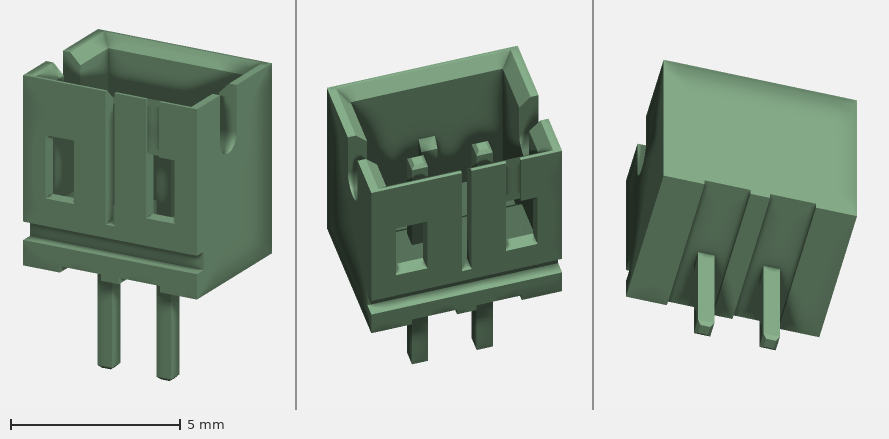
import cadquery as cq

LENGTH = 5.9
DEPTH = 4.5
HEIGHT = 6.0

END_WALL = 0.6
SIDE_WALL = 0.45
RIM_CHAMFER = 0.35

FRONT_FLOOR_Z = 1.8
RAMP_START_Y = -0.15
RAMP_RUN = 0.65

PIN_PITCH = 2.0
PIN_SIZE = 0.5
PIN_Y = -0.55
PIN_TOP_Z = 5.1
PIN_BOTTOM_Z = -3.4
PIN_CHAMFER = 0.1

NOTCH_WIDTH = 1.0
NOTCH_Y = -0.37
NOTCH_BOTTOM_Z = 4.0

SLOT_WIDTH = 0.3
WINDOW_INNER_X = 1.22
WINDOW_WIDTH = 0.97
WINDOW_BOTTOM_Z = 2.25
WINDOW_TOP_Z = 4.25
CHANNEL_WIDTH = 0.45
CHANNEL_DEPTH = SIDE_WALL - RIM_CHAMFER

GROOVE_BOTTOM_Z = 0.8
GROOVE_HEIGHT = 0.58
GROOVE_DEPTH = 0.4

RELIEF_WIDTH = 1.4
RELIEF_HEIGHT = 0.2

KEY_WIDTH = 0.5
KEY_DEPTH = 0.275
KEY_TOP_Z = 3.42

FRONT_Y = -DEPTH / 2
CAVITY_LENGTH = LENGTH - 2 * END_WALL
CAVITY_DEPTH = DEPTH - 2 * SIDE_WALL
CAVITY_FRONT_Y = -CAVITY_DEPTH / 2
CAVITY_BACK_Y = CAVITY_DEPTH / 2
BACK_FLOOR_Z = FRONT_FLOOR_Z - RAMP_RUN
PIN_XS = (-PIN_PITCH / 2, PIN_PITCH / 2)


def block(x_min, x_max, y_min, y_max, z_min, z_max):
    """Axis-aligned box given by its limits."""
    size = (x_max - x_min, y_max - y_min, z_max - z_min)
    return cq.Workplane("XY").box(*size, centered=False).translate((x_min, y_min, z_min))


def side_profile_prism(points, width):
    """Prism centred on X = 0 whose YZ outline is the given polygon."""
    return cq.Workplane("YZ").polyline(points).close().extrude(width / 2, both=True)


def cavity():
    """Inside of the housing, with the stepped floor and the flared rim."""
    well = side_profile_prism(
        [
            (CAVITY_FRONT_Y, HEIGHT),
            (CAVITY_FRONT_Y, FRONT_FLOOR_Z),
            (RAMP_START_Y, FRONT_FLOOR_Z),
            (RAMP_START_Y + RAMP_RUN, BACK_FLOOR_Z),
            (CAVITY_BACK_Y, BACK_FLOOR_Z),
            (CAVITY_BACK_Y, HEIGHT),
        ],
        CAVITY_LENGTH,
    )
    flare = (
        cq.Workplane("XY")
        .workplane(offset=HEIGHT - RIM_CHAMFER)
        .rect(CAVITY_LENGTH, CAVITY_DEPTH)
        .workplane(offset=RIM_CHAMFER)
        .rect(CAVITY_LENGTH + 2 * RIM_CHAMFER, CAVITY_DEPTH + 2 * RIM_CHAMFER)
        .loft(ruled=True)
    )
    return well.union(flare)


def end_notches():
    """Round-bottomed notch through both end walls."""
    radius = NOTCH_WIDTH / 2
    arc_z = NOTCH_BOTTOM_Z + radius
    return (
        cq.Workplane("YZ")
        .moveTo(NOTCH_Y - radius, HEIGHT)
        .lineTo(NOTCH_Y - radius, arc_z)
        .threePointArc((NOTCH_Y, NOTCH_BOTTOM_Z), (NOTCH_Y + radius, arc_z))
        .lineTo(NOTCH_Y + radius, HEIGHT)
        .close()
        .extrude(LENGTH / 2, both=True)
    )


def front_openings():
    """Central slot, two windows and the shallow channel above the right window."""
    half_slot = SLOT_WIDTH / 2
    window_outer_x = WINDOW_INNER_X + WINDOW_WIDTH
    slot = block(-half_slot, half_slot, FRONT_Y, CAVITY_FRONT_Y, FRONT_FLOOR_Z, HEIGHT)
    right_window = block(
        WINDOW_INNER_X, window_outer_x, FRONT_Y, CAVITY_FRONT_Y, WINDOW_BOTTOM_Z, WINDOW_TOP_Z
    )
    left_window = right_window.mirror("YZ")
    channel = block(
        WINDOW_INNER_X,
        WINDOW_INNER_X + CHANNEL_WIDTH,
        FRONT_Y,
        FRONT_Y + CHANNEL_DEPTH,
        WINDOW_TOP_Z,
        HEIGHT,
    )
    return slot.union(right_window).union(left_window).union(channel)


def front_groove():
    """Groove along the full length of the front face."""
    return block(
        -LENGTH / 2,
        LENGTH / 2,
        FRONT_Y,
        FRONT_Y + GROOVE_DEPTH,
        GROOVE_BOTTOM_Z,
        GROOVE_BOTTOM_Z + GROOVE_HEIGHT,
    )


def underside_reliefs():
    """Shallow reliefs across the underside, leaving three standoff feet."""
    return (
        cq.Workplane("XY")
        .pushPoints([(x, 0) for x in PIN_XS])
        .rect(RELIEF_WIDTH, DEPTH)
        .extrude(RELIEF_HEIGHT)
    )


def key():
    """Polarizing key standing on the back floor against the back wall."""
    inner_y = CAVITY_BACK_Y - KEY_DEPTH
    return side_profile_prism(
        [
            (CAVITY_BACK_Y, BACK_FLOOR_Z),
            (CAVITY_BACK_Y, KEY_TOP_Z),
            (inner_y, KEY_TOP_Z - KEY_DEPTH),
            (inner_y, BACK_FLOOR_Z),
        ],
        KEY_WIDTH,
    )


def pins():
    """Square pins through the floor, chamfered at both ends."""
    return (
        cq.Workplane("XY")
        .workplane(offset=PIN_BOTTOM_Z)
        .pushPoints([(x, PIN_Y) for x in PIN_XS])
        .rect(PIN_SIZE, PIN_SIZE)
        .extrude(PIN_TOP_Z - PIN_BOTTOM_Z)
        .faces("<Z or >Z")
        .chamfer(PIN_CHAMFER)
    )


housing = cq.Workplane("XY").box(LENGTH, DEPTH, HEIGHT, centered=(True, True, False))
for cutter in (cavity(), end_notches(), front_openings(), front_groove(), underside_reliefs()):
    housing = housing.cut(cutter)

result = housing.union(key()).union(pins())